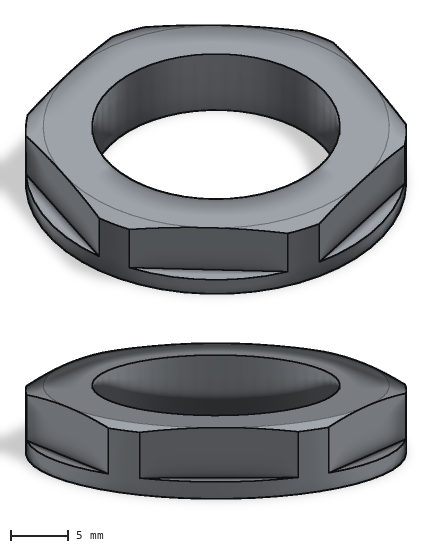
import cadquery as cq
import math

outer_diameter = 33.0
across_flats = 30.0
bore_diameter = 21.48
total_height = 6.0
flange_height = 1.52
chamfer_angle = 15.0

outer_radius = outer_diameter / 2
top_face_radius = across_flats / 2
across_corners = across_flats / math.cos(math.radians(30))
chamfer_drop = (outer_radius - top_face_radius) * math.tan(math.radians(chamfer_angle))


def make_turned_blank():
    """Full-height disc with a shallow conical chamfer around the top."""
    return (
        cq.Workplane("XZ")
        .moveTo(0, 0)
        .lineTo(outer_radius, 0)
        .lineTo(outer_radius, total_height - chamfer_drop)
        .lineTo(top_face_radius, total_height)
        .lineTo(0, total_height)
        .close()
        .revolve(360, (0, 0, 0), (0, 1, 0))
    )


def make_flange():
    """Round flange at the base."""
    return cq.Workplane("XY").circle(outer_radius).extrude(flange_height)


def make_hexagon():
    """Hexagonal prism with two corners on the X axis."""
    return cq.Workplane("XY").polygon(6, across_corners).extrude(total_height)


def make_bore():
    """Plain through hole."""
    return cq.Workplane("XY").circle(bore_diameter / 2).extrude(total_height)


hexagon = make_hexagon().intersect(make_turned_blank())
result = hexagon.union(make_flange()).cut(make_bore())